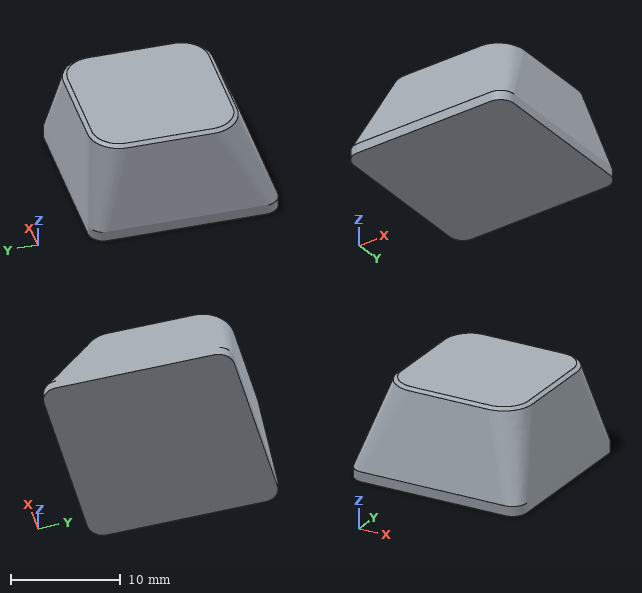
import cadquery as cq

base_size = 18.0
height = 9.0

skirt_height = 1.0
base_radius = 1.5

shoulder_size = 14.15
shoulder_radius = 2.97
top_shift = 0.99

bevel_height = 0.25
bevel_width = 0.4


def rounded_square(size, radius, shift=0.0):
    """Closed rounded-square sketch, shifted along Y."""
    return (
        cq.Sketch()
        .rect(size, size)
        .vertices()
        .fillet(radius)
        .moved(cq.Location(cq.Vector(0, shift, 0)))
    )


def tapered_layer(bottom, top, bottom_z, layer_height):
    """Ruled solid joining two outlines that lie one above the other."""
    raised_top = top.moved(cq.Location(cq.Vector(0, 0, layer_height)))
    return (
        cq.Workplane("XY", origin=(0, 0, bottom_z))
        .placeSketch(bottom, raised_top)
        .loft(ruled=True)
    )


base_outline = rounded_square(base_size, base_radius)
shoulder_outline = rounded_square(shoulder_size, shoulder_radius, top_shift)
top_outline = rounded_square(
    shoulder_size - 2 * bevel_width, shoulder_radius - bevel_width, top_shift
)

shoulder_z = height - bevel_height

skirt = cq.Workplane("XY").placeSketch(base_outline).extrude(skirt_height)
walls = tapered_layer(base_outline, shoulder_outline, skirt_height, shoulder_z - skirt_height)
bevel = tapered_layer(shoulder_outline, top_outline, shoulder_z, bevel_height)

result = skirt.union(walls).union(bevel)